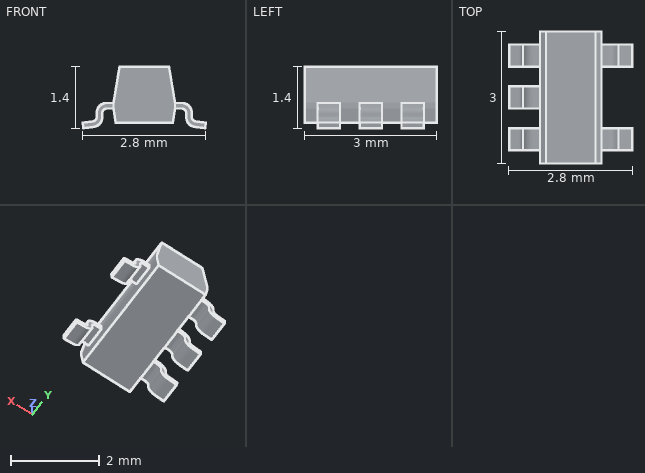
import cadquery as cq
import math

housing_length = 3.0
housing_width = 1.4
housing_top_width = 1.128
housing_base_width = 1.302
housing_base_z = 0.125
housing_top_z = 1.4

lead_span = 2.8
lead_width = 0.51
lead_thickness = 0.132
lead_pitch = 0.948
lead_top_z = 0.58
inner_radius = 0.1
shoulder_length = 0.15
foot_angle = math.radians(7.0)

LEFT, RIGHT = -1, 1
lead_rows = {LEFT: (-lead_pitch, 0.0, lead_pitch), RIGHT: (-lead_pitch, lead_pitch)}

outer_radius = inner_radius + lead_thickness
lead_bottom_z = lead_top_z - lead_thickness
root_x = housing_width / 2
upper_centre = (root_x + shoulder_length, lead_top_z - outer_radius)
lower_centre_x = upper_centre[0] + outer_radius + inner_radius
foot_start_x = lower_centre_x - inner_radius * math.sin(foot_angle)
foot_length = (lead_span / 2 - foot_start_x) / math.cos(foot_angle)
foot_drop = foot_length * math.sin(foot_angle)
lower_centre = (lower_centre_x, outer_radius * math.cos(foot_angle) + foot_drop)


def polar(centre, radius, angle):
    """Point on a circle, with the angle in radians from +X."""
    return (centre[0] + radius * math.cos(angle), centre[1] + radius * math.sin(angle))


def make_housing():
    """Prism whose sides taper above and below a vertical band as tall as the leads."""
    right_side = [
        (housing_base_width / 2, housing_base_z),
        (housing_width / 2, lead_bottom_z),
        (housing_width / 2, lead_top_z),
        (housing_top_width / 2, housing_top_z),
    ]
    left_side = [(-x, z) for x, z in reversed(right_side)]
    profile = cq.Workplane("XZ").polyline(right_side + left_side).close()
    return profile.extrude(housing_length / 2, both=True)


def make_lead(side, y):
    """One lead centred at y, butting against the housing on the given side."""
    bend_mid = math.radians(45)
    foot_start = math.radians(270) - foot_angle
    foot_mid = (math.radians(180) + foot_start) / 2
    foot_top = polar(lower_centre, inner_radius, foot_start)
    foot_bottom = polar(lower_centre, outer_radius, foot_start)
    foot_run = foot_length * math.cos(foot_angle)

    def at(point):
        return (side * point[0], point[1])

    return (
        cq.Workplane("XZ", origin=(0, y, 0))
        .moveTo(*at((root_x, lead_top_z)))
        .lineTo(*at((upper_centre[0], lead_top_z)))
        .threePointArc(
            at(polar(upper_centre, outer_radius, bend_mid)),
            at(polar(upper_centre, outer_radius, 0)),
        )
        .lineTo(*at(polar(lower_centre, inner_radius, math.pi)))
        .threePointArc(at(polar(lower_centre, inner_radius, foot_mid)), at(foot_top))
        .lineTo(*at((foot_top[0] + foot_run, foot_top[1] - foot_drop)))
        .lineTo(*at((foot_bottom[0] + foot_run, foot_bottom[1] - foot_drop)))
        .lineTo(*at(foot_bottom))
        .threePointArc(
            at(polar(lower_centre, outer_radius, foot_mid)),
            at(polar(lower_centre, outer_radius, math.pi)),
        )
        .lineTo(*at(polar(upper_centre, inner_radius, 0)))
        .threePointArc(
            at(polar(upper_centre, inner_radius, bend_mid)),
            at((upper_centre[0], lead_bottom_z)),
        )
        .lineTo(*at((root_x, lead_bottom_z)))
        .close()
        .extrude(lead_width / 2, both=True)
    )


housing = make_housing()
leads = [make_lead(side, y) for side, row in lead_rows.items() for y in row]

result = cq.Compound.makeCompound([housing.val(), *[lead.val() for lead in leads]])